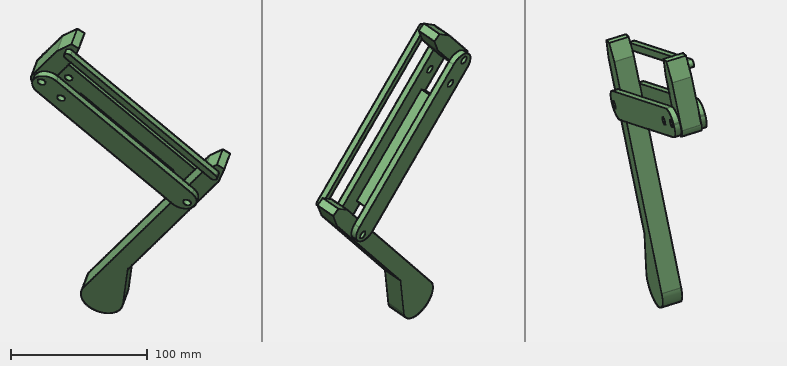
import cadquery as cq
import math


arm_thickness = 15.5
wall_thickness = 4.8
link_thickness = 4.8

pivot_spacing = 149.8
channel_tilt = -42.2
arm_tilt = -29.4
link_height = 40.8
hole_diameter = 6.0

channel_width = 22.3
channel_corner_radius = 10.7
channel_end_margin = 5.7
spare_hole_offset = 20.0
web_start = 36.5
web_end = 132.5
web_thickness = 6.5

link_width = 6.0

arm_width = 14.0
arm_top = 49.5
tip_half_width = 3.3
jaw_side_offset = -0.3
jaw_end_overhang = 4.8
jaw_outer_shoulder = 34.0
jaw_inner_shoulder = 35.7
lever_outer_shoulder = 34.2
lever_inner_shoulder = 35.7

grip_radius = 16.0
grip_drop = 151.2
grip_shoulder_drop = 107.5

half_arm = arm_width / 2
jaw_pivot = (0, 0)
lever_pivot = (
    pivot_spacing * math.cos(math.radians(channel_tilt)),
    pivot_spacing * math.sin(math.radians(channel_tilt)),
)


def tilted_plane(origin, tilt, y_front):
    """Sketch plane facing -Y at y_front, turned by tilt degrees about the given XZ point."""
    plane = cq.Plane(origin=(origin[0], y_front, origin[1]), xDir=(1, 0, 0), normal=(0, -1, 0))
    return cq.Workplane(plane.rotated((0, 0, tilt)))


def drill_pivot(arm):
    """Cut the pivot hole through an arm sketched with its pivot at the local origin."""
    return arm.moveTo(0, 0).circle(hole_diameter / 2).extrude(-arm_thickness)


arm_front = -arm_thickness / 2
wall_fronts = (arm_front - wall_thickness, arm_thickness / 2)


def make_channel():
    web_length = web_end - web_start
    web_middle = (web_start + web_end) / 2
    channel = (
        tilted_plane(jaw_pivot, channel_tilt, arm_front)
        .center(web_middle, (web_thickness - channel_width) / 2)
        .rect(web_length, web_thickness)
        .extrude(-arm_thickness)
    )
    for wall_front in wall_fronts:
        wall = (
            tilted_plane(jaw_pivot, channel_tilt, wall_front)
            .center(pivot_spacing / 2, 0)
            .rect(pivot_spacing + 2 * channel_end_margin, channel_width)
            .extrude(-wall_thickness)
            .edges("|Y")
            .fillet(channel_corner_radius)
        )
        channel = channel.union(wall)
    holes = (
        tilted_plane(jaw_pivot, channel_tilt, wall_fronts[0])
        .pushPoints([(0, 0), (spare_hole_offset, 0), (pivot_spacing, 0)])
        .circle(hole_diameter / 2)
        .extrude(-(arm_thickness + 2 * wall_thickness))
    )
    return channel.cut(holes)


def make_jaw():
    left = jaw_side_offset - half_arm
    right = jaw_side_offset + half_arm
    sketch = tilted_plane(jaw_pivot, arm_tilt, arm_front)
    body = (
        sketch
        .moveTo(left, -jaw_end_overhang)
        .lineTo(left, jaw_outer_shoulder)
        .lineTo(-tip_half_width, arm_top)
        .lineTo(tip_half_width, arm_top)
        .lineTo(right, jaw_inner_shoulder)
        .lineTo(right, -jaw_end_overhang)
        .threePointArc((jaw_side_offset, -jaw_end_overhang - half_arm), (left, -jaw_end_overhang))
        .close()
        .extrude(-arm_thickness)
    )
    return body.cut(drill_pivot(sketch))


def make_lever():
    grip_x = grip_radius - half_arm
    grip_y = -grip_drop
    reach_x = half_arm - grip_x
    reach_y = -grip_shoulder_drop - grip_y
    tangent_angle = math.atan2(reach_y, reach_x) - math.acos(grip_radius / math.hypot(reach_x, reach_y))
    tangent_point = (
        grip_x + grip_radius * math.cos(tangent_angle),
        grip_y + grip_radius * math.sin(tangent_angle),
    )
    sketch = tilted_plane(lever_pivot, arm_tilt, arm_front)
    body = (
        sketch
        .moveTo(-half_arm, grip_y)
        .lineTo(-half_arm, lever_inner_shoulder)
        .lineTo(-tip_half_width, arm_top)
        .lineTo(tip_half_width, arm_top)
        .lineTo(half_arm, lever_outer_shoulder)
        .lineTo(half_arm, -grip_shoulder_drop)
        .lineTo(*tangent_point)
        .threePointArc((grip_x, grip_y - grip_radius), (-half_arm, grip_y))
        .close()
        .extrude(-arm_thickness)
    )
    return body.cut(drill_pivot(sketch))


def make_link_rod():
    lean = math.radians(-arm_tilt)
    link_start = (link_height * math.sin(lean), link_height * math.cos(lean))
    return (
        tilted_plane(link_start, channel_tilt, arm_front - link_thickness)
        .center(pivot_spacing / 2, 0)
        .slot2D(pivot_spacing + link_width, link_width)
        .extrude(-link_thickness)
    )


channel = make_channel()
jaw = make_jaw()
lever = make_lever()
link_rod = make_link_rod()

result = cq.Compound.makeCompound([channel.val(), jaw.val(), lever.val(), link_rod.val()])